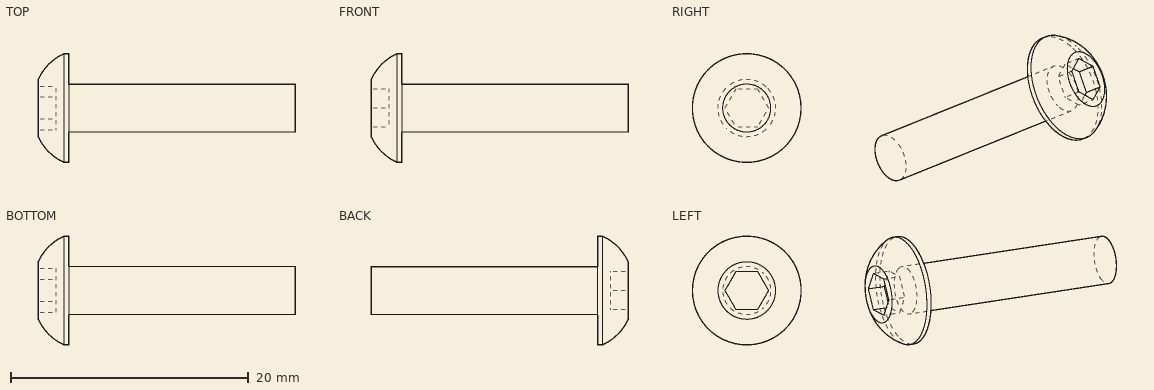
import cadquery as cq
import math

length = 21.62
head_diameter = 9.17
head_height = 2.57
rim_thickness = 0.4
crown_diameter = 4.85
dome_bulge = 0.28
shank_diameter = 4.05
socket_across_flats = 3.18
socket_depth = 1.51

head_radius = head_diameter / 2
crown_radius = crown_diameter / 2
shank_radius = shank_diameter / 2
dome_height = head_height - rim_thickness


def dome_midpoint():
    """Point halfway along the dome arc, as (X, radius)."""
    radial_run = head_radius - crown_radius
    chord = math.hypot(dome_height, radial_run)
    x = dome_height / 2 - dome_bulge * radial_run / chord
    radius = (crown_radius + head_radius) / 2 + dome_bulge * dome_height / chord
    return x, radius


def screw_body():
    """Head and shank, revolved about the X axis."""
    return (
        cq.Workplane("XY")
        .lineTo(0, crown_radius)
        .threePointArc(dome_midpoint(), (dome_height, head_radius))
        .lineTo(head_height, head_radius)
        .lineTo(head_height, shank_radius)
        .lineTo(length, shank_radius)
        .lineTo(length, 0)
        .close()
        .revolve(360, (0, 0, 0), (1, 0, 0))
    )


def hex_socket():
    """Blind hexagonal recess with two corners on the Y axis."""
    across_corners = socket_across_flats / math.cos(math.pi / 6)
    return cq.Workplane("YZ").polygon(6, across_corners).extrude(socket_depth)


result = screw_body().cut(hex_socket())